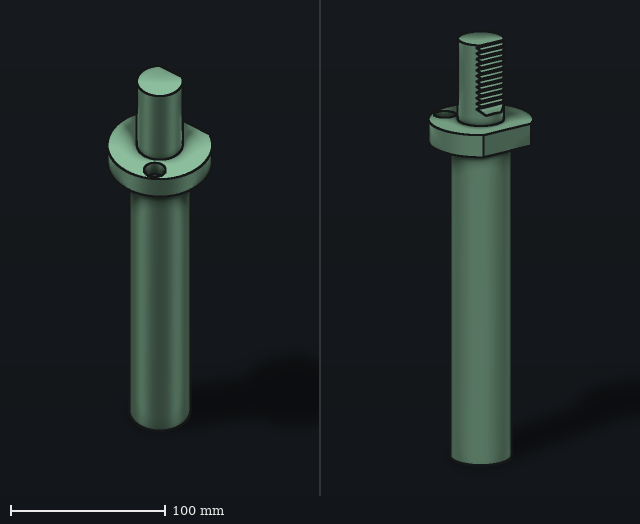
import cadquery as cq
import math

total_height = 285.0
pin_height = 55.0
flange_thickness = 15.0
flange_top = total_height - pin_height
flange_bottom = flange_top - flange_thickness

body_diameter = 40.0
flange_diameter = 68.0
pin_diameter = 30.0
pin_radius = pin_diameter / 2

flange_flat_y = 28.0

hole_diameter = 14.0
hole_depth = 10.0
hole_circle_radius = 25.0
hole_angle = math.radians(-60)

tooth_count = 12
serration_length = 45.5
tooth_pitch = serration_length / tooth_count
crest_y = 12.0
root_y = 10.0
runout_depth = 2.5
runout_y = 13.7
shoulder_rise = 0.9


def cylinder(diameter, bottom, height):
    return cq.Workplane("XY").workplane(offset=bottom).circle(diameter / 2).extrude(height)


def flange():
    disc = cylinder(flange_diameter, flange_bottom, flange_thickness)
    flat_cut = (
        cq.Workplane("XY")
        .workplane(offset=flange_bottom)
        .center(0, flange_flat_y + flange_diameter / 2)
        .rect(flange_diameter, flange_diameter)
        .extrude(flange_thickness)
    )
    return disc.cut(flat_cut)


def blind_hole():
    hole_x = hole_circle_radius * math.cos(hole_angle)
    hole_y = hole_circle_radius * math.sin(hole_angle)
    return cylinder(hole_diameter, flange_top - hole_depth, hole_depth).translate((hole_x, hole_y, 0))


def serration_cut():
    points = [(crest_y, total_height)]
    for tooth in range(tooth_count):
        tooth_top = total_height - tooth * tooth_pitch
        points.append((root_y, tooth_top - tooth_pitch / 2))
        points.append((crest_y, tooth_top - tooth_pitch))
    notch_z = total_height - serration_length - runout_depth
    points.append((runout_y, notch_z))
    points.append((pin_radius, notch_z + shoulder_rise))
    points.append((pin_radius, total_height))
    return cq.Workplane("YZ").polyline(points).close().extrude(pin_radius, both=True)


body = cylinder(body_diameter, 0, flange_bottom)
pin = cylinder(pin_diameter, flange_top, pin_height).cut(serration_cut())
result = body.union(flange()).union(pin).cut(blind_hole())